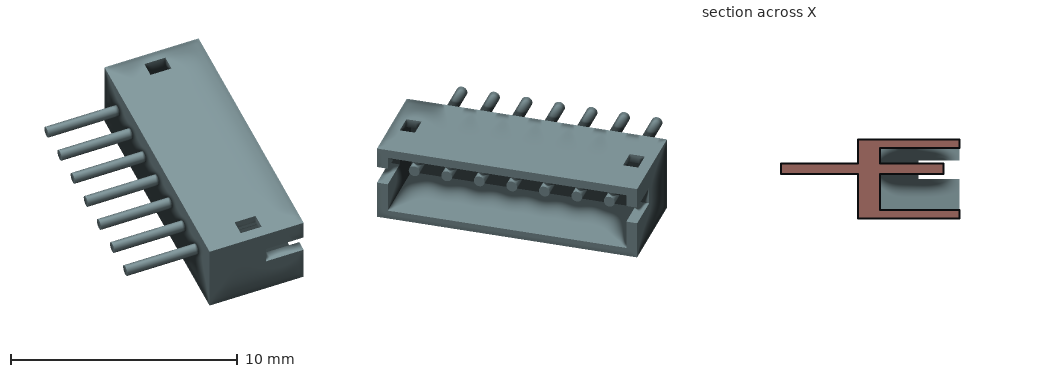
import cadquery as cq

pin_count = 7
pin_pitch = 1.5
end_margin = 1.5
housing_length = (pin_count - 1) * pin_pitch + 2 * end_margin
housing_depth = 4.5
housing_height = 3.5

end_wall_thickness = 0.5
long_wall_thickness = 0.4
base_thickness = 1.0
cavity_length = housing_length - 2 * end_wall_thickness
cavity_depth = housing_depth - base_thickness
cavity_height = housing_height - 2 * long_wall_thickness

slot_depth = 1.8
slot_height = 0.8
slot_bottom = housing_height / 2

window_width = 0.7
window_depth = 1.0
window_front = housing_depth - slot_depth - window_depth
window_offset = cavity_length / 2 - window_width / 2

pin_diameter = 0.5
pin_protrusion = 3.4
pin_recess = 0.7
pin_height = 2.2
pin_length = pin_protrusion + housing_depth - pin_recess


def block(length, depth, height, x_center, y_start, z_start):
    """Box centred on x_center, growing toward +Y and +Z from its start values."""
    return (
        cq.Workplane("XY")
        .box(length, depth, height, centered=(True, False, False))
        .translate((x_center, y_start, z_start))
    )


def make_housing():
    """Shell open toward +Y with side slots and two latch windows."""
    body = block(housing_length, housing_depth, housing_height, 0, 0, 0)
    cavity = block(cavity_length, cavity_depth, cavity_height, 0, base_thickness, long_wall_thickness)
    slots = block(
        housing_length, slot_depth, slot_height, 0, housing_depth - slot_depth, slot_bottom
    )
    body = body.cut(cavity).cut(slots)
    for side in (-1, 1):
        window = block(
            window_width,
            window_depth,
            long_wall_thickness,
            side * window_offset,
            window_front,
            housing_height - long_wall_thickness,
        )
        body = body.cut(window)
    return body


def make_pin(x_position):
    """Round pin along Y, passing through the base into the cavity."""
    pin = cq.Workplane("XZ").circle(pin_diameter / 2).extrude(-pin_length)
    return pin.translate((x_position, -pin_protrusion, pin_height))


result = make_housing()
for index in range(pin_count):
    result = result.union(make_pin((index - (pin_count - 1) / 2) * pin_pitch))